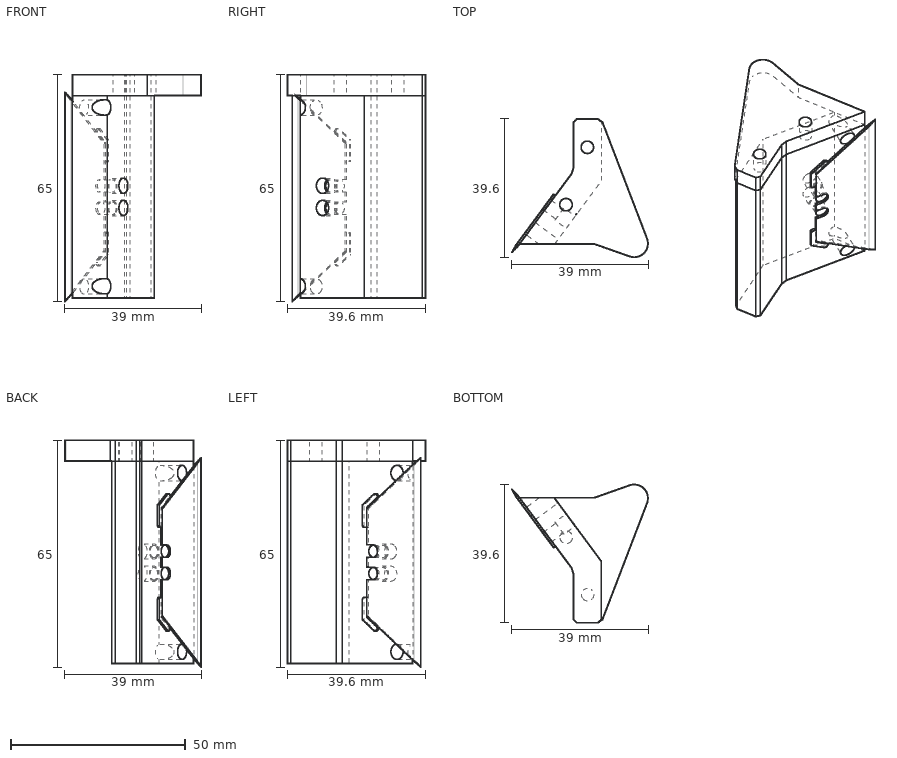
import cadquery as cq
import math

total_height = 65.0
plate_thickness = 6.0
column_bottom = 1.0
blade_length = 60.0
mid_height = blade_length / 2
column_top = total_height - plate_thickness

wall = 8.0
back_y = 39.65
front_y = 3.8
front_corner_x = 2.15
outer_wall_x = 17.6
inner_wall_x = outer_wall_x + wall
blade_angle = math.radians(53.5)
edge_chamfer = 1.0

lobe_radius = 3.95
lobe_center = (35.05, 3.95)
lobe_neck = (23.65, front_y)

small_diameter = 3.6
large_diameter = 4.35
end_hole_reach = 5.5
end_hole_offset = 25.6
slot_hole_reach = 13.8
slot_hole_offset = 3.2
counterbore_depth = wall / 2
upper_screw_y = 31.5
lower_screw_y = 15.1

blade_thickness = 0.65
blade_width = 19.05
blade_heel_length = 30.75
edge_overhang = 3.2
bevel_width = 2.3

tab_width = 1.5
tab_heel_leg = 5.3
tab_slant_leg = 5.0
tab_height = blade_thickness
tab_corner_radius = 0.6
tab_clearance = 0.25

along = (math.cos(blade_angle), math.sin(blade_angle))
inward = (along[1], -along[0])
heel_reach = blade_width - edge_overhang
blade_slant = (blade_length - blade_heel_length) / 2

seat = cq.Plane(
    origin=(front_corner_x, front_y, mid_height),
    xDir=(*along, 0),
    normal=(-inward[0], -inward[1], 0),
)


def line_y(start_x, x):
    """Y at x on the line that leaves the front face at start_x, parallel to the blade."""
    return front_y + (x - start_x) * math.tan(blade_angle)


def toward(start, end, distance):
    """Point at a given distance from start on the way to end."""
    length = math.dist(start, end)
    return tuple(a + (b - a) * distance / length for a, b in zip(start, end))


def lobe_tangent(point, side):
    """Touching point of a line from the point to the lobe circle; side picks one of two."""
    gap = math.dist(point, lobe_center)
    base = math.atan2(point[1] - lobe_center[1], point[0] - lobe_center[0])
    angle = base + side * math.acos(lobe_radius / gap)
    return (
        lobe_center[0] + lobe_radius * math.cos(angle),
        lobe_center[1] + lobe_radius * math.sin(angle),
    )


front_corner = (front_corner_x, front_y)
outer_bend = (outer_wall_x, line_y(front_corner_x, outer_wall_x))
outer_back = (outer_wall_x, back_y)
inner_back = (inner_wall_x, back_y)
outer_side = [
    front_corner,
    toward(outer_bend, front_corner, edge_chamfer),
    toward(outer_bend, outer_back, edge_chamfer),
    toward(outer_back, outer_bend, edge_chamfer),
    toward(outer_back, inner_back, edge_chamfer),
]


def screw_points():
    """Vertical screw holes, centred in the wall thickness."""
    middle_start_x = front_corner_x + wall / (2 * math.sin(blade_angle))
    lower_x = middle_start_x + (lower_screw_y - front_y) / math.tan(blade_angle)
    return [(outer_wall_x + wall / 2, upper_screw_y), (lower_x, lower_screw_y)]


def make_plate():
    lobe_back = lobe_tangent(inner_back, -1)
    lobe_front = lobe_tangent(lobe_neck, 1)
    lobe_angle = (
        math.atan2(lobe_back[1] - lobe_center[1], lobe_back[0] - lobe_center[0])
        + math.atan2(lobe_front[1] - lobe_center[1], lobe_front[0] - lobe_center[0])
    ) / 2
    lobe_middle = (
        lobe_center[0] + lobe_radius * math.cos(lobe_angle),
        lobe_center[1] + lobe_radius * math.sin(lobe_angle),
    )
    plate = (
        cq.Workplane("XY", origin=(0, 0, column_top))
        .polyline(outer_side)
        .lineTo(*toward(inner_back, outer_back, edge_chamfer))
        .lineTo(*toward(inner_back, lobe_back, edge_chamfer))
        .lineTo(*lobe_back)
        .threePointArc(lobe_middle, lobe_front)
        .lineTo(*lobe_neck)
        .close()
        .extrude(plate_thickness)
    )
    holes = (
        cq.Workplane("XY", origin=(0, 0, column_top))
        .pushPoints(screw_points())
        .circle(small_diameter / 2)
        .extrude(plate_thickness)
    )
    return plate.cut(holes)


def make_tab():
    """Tab hugging one heel corner; the other one is its mirror image."""
    heel_half = blade_heel_length / 2
    slant_angle = math.atan2(blade_slant, blade_width)
    slant = (-math.cos(slant_angle), math.sin(slant_angle))
    slant_out = (math.sin(slant_angle), math.cos(slant_angle))
    inner = (heel_reach, heel_half + tab_clearance / slant_out[1])
    slant_end = (inner[0] + tab_slant_leg * slant[0], inner[1] + tab_slant_leg * slant[1])
    slant_end_out = (
        slant_end[0] + tab_width * slant_out[0],
        slant_end[1] + tab_width * slant_out[1],
    )
    outer_x = heel_reach + tab_width
    outer_y = slant_end_out[1] - (outer_x - slant_end_out[0]) * math.tan(slant_angle)
    heel_end_y = heel_half - tab_heel_leg
    tab = (
        cq.Workplane(seat)
        .polyline([
            inner,
            slant_end,
            slant_end_out,
            (outer_x, outer_y),
            (outer_x, heel_end_y),
            (heel_reach, heel_end_y),
        ])
        .close()
        .extrude(tab_height)
    )
    rounded_ends = [slant_end_out, (outer_x, heel_end_y)]
    for x, y in rounded_ends:
        corner = seat.toWorldCoords((x, y, tab_height / 2))
        tab = tab.edges(cq.selectors.NearestToPointSelector(corner.toTuple())).fillet(tab_corner_radius)
    return tab


def seat_holes(reach, offset, diameter, start, depth):
    """Pair of cylinders into the column, from a depth below the seat face."""
    return (
        cq.Workplane(seat)
        .workplane(offset=-start)
        .pushPoints([(reach, offset), (reach, -offset)])
        .circle(diameter / 2)
        .extrude(-depth)
    )


def make_column():
    inner_start_x = front_corner_x + wall / math.sin(blade_angle)
    inner_bend = (inner_wall_x, line_y(inner_start_x, inner_wall_x))
    column = (
        cq.Workplane("XY", origin=(0, 0, column_bottom))
        .polyline([
            *outer_side,
            toward(inner_back, outer_back, edge_chamfer),
            toward(inner_back, inner_bend, edge_chamfer),
            inner_bend,
            (inner_start_x, front_y),
        ])
        .close()
        .extrude(column_top - column_bottom)
    )
    column = column.cut(seat_holes(end_hole_reach, end_hole_offset, large_diameter, 0, wall))
    column = column.cut(seat_holes(slot_hole_reach, slot_hole_offset, small_diameter, 0, wall))
    column = column.cut(seat_holes(
        slot_hole_reach, slot_hole_offset, large_diameter, wall - counterbore_depth, counterbore_depth
    ))
    tab = make_tab()
    mirrored_tab = tab.mirror("XY", (0, 0, mid_height))
    return column.union(tab).union(mirrored_tab)


def make_blade():
    """Trapezoid blade, bevelled on both sides to its long edge, slotted at the heel."""
    section = cq.Plane(origin=(front_corner_x, front_y, 0), xDir=(*along, 0), normal=(0, 0, 1))
    bevel_end = bevel_width - edge_overhang
    strip = (
        cq.Workplane(section)
        .polyline([
            (-edge_overhang, blade_thickness / 2),
            (bevel_end, 0),
            (heel_reach, 0),
            (heel_reach, blade_thickness),
            (bevel_end, blade_thickness),
        ])
        .close()
        .extrude(blade_length)
    )
    outline = (
        cq.Workplane(seat)
        .polyline([
            (-edge_overhang, -blade_length / 2),
            (heel_reach, -blade_heel_length / 2),
            (heel_reach, blade_heel_length / 2),
            (-edge_overhang, blade_length / 2),
        ])
        .close()
        .extrude(blade_thickness)
    )
    blade = strip.intersect(outline)
    slot_length = 2 * (heel_reach - slot_hole_reach) + small_diameter
    slots = (
        cq.Workplane(seat)
        .pushPoints([(heel_reach, slot_hole_offset), (heel_reach, -slot_hole_offset)])
        .slot2D(slot_length, small_diameter)
        .extrude(blade_thickness)
    )
    return blade.cut(slots)


plate = make_plate()
column = make_column()
blade = make_blade()

result = cq.Compound.makeCompound([plate.val(), column.val(), blade.val()])